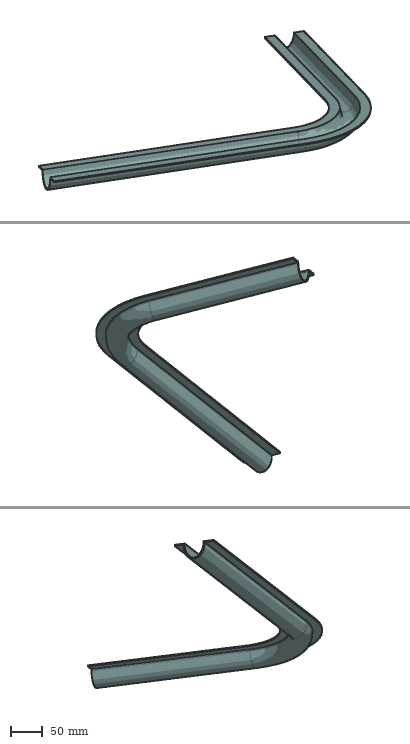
import cadquery as cq

length_x = 417.0
length_y = 577.0
depth = 27.0

flange_width = 66.0
half_flange = flange_width / 2
thickness = 2.0
trough_width = 36.0
wall_height = 4.0

bend_outer_radius = 150.0

leg_center_x = length_x - half_flange
leg_center_y = length_y - half_flange


def make_section():
    """Flanged trough outline in the YZ plane at the free end of the X leg."""
    outer_half = trough_width / 2
    inner_half = outer_half - thickness
    outer_drop = depth - wall_height
    inner_drop = depth - thickness
    return (
        cq.Workplane("YZ")
        .center(leg_center_y, 0)
        .moveTo(-half_flange, 0)
        .lineTo(-inner_half, 0)
        .ellipseArc(inner_half, inner_drop, 180, 360, startAtCurrent=True)
        .lineTo(half_flange, 0)
        .lineTo(half_flange, -thickness)
        .lineTo(outer_half, -thickness)
        .lineTo(outer_half, -wall_height)
        .ellipseArc(outer_half, outer_drop, 180, 360, startAtCurrent=True, sense=-1)
        .lineTo(-outer_half, -thickness)
        .lineTo(-half_flange, -thickness)
        .close()
    )


def make_path():
    """Centreline: along +X, a quarter-turn bend, then along -Y."""
    bend_start_x = length_x - bend_outer_radius
    bend_end_y = length_y - bend_outer_radius
    return (
        cq.Workplane("XY")
        .moveTo(0, leg_center_y)
        .lineTo(bend_start_x, leg_center_y)
        .tangentArcPoint((leg_center_x, bend_end_y), relative=False)
        .lineTo(leg_center_x, 0)
    )


result = make_section().sweep(make_path())